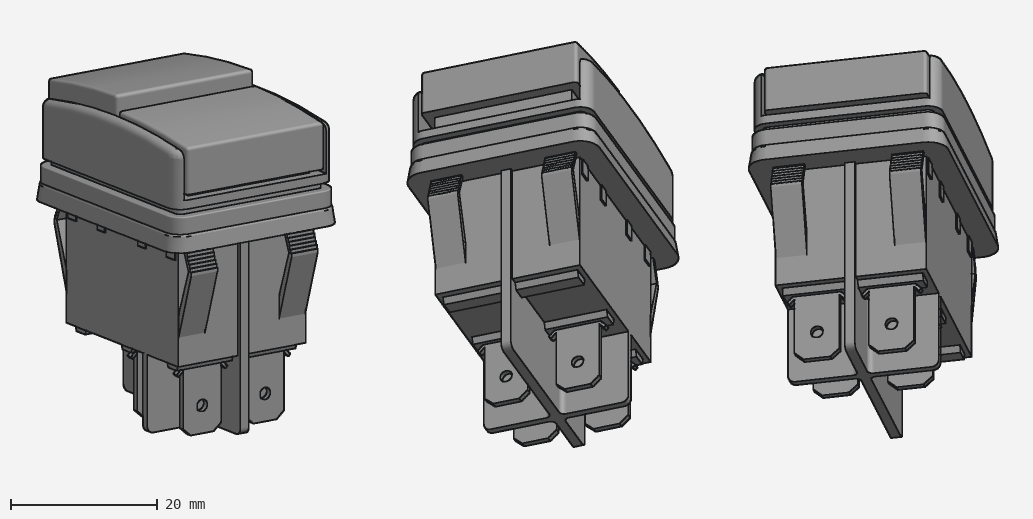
import cadquery as cq
import math

OVERLAP = 0.3

CORNER_X = 14.65
CORNER_Y = 11.1
FLANGE_FOOT_RADIUS = 2.85
FLANGE_KINK_RADIUS = 2.5
FLANGE_RADIUS = 2.35
GROOVE_RADIUS = 0.9
FRAME_RADIUS = 2.05
FLANGE_KINK_Z = 2.2
FLANGE_WALL_Z = 2.5
FLANGE_TOP = 4.95
FLANGE_EDGE_FILLET = 0.2
FRAME_BOTTOM = 5.95
FRAME_FLOOR = 7.23
FRAME_CROWN = 15.45
FRAME_EDGE_FILLET = 1.1
WALL_INNER_Y = 11.8

CROWN_RADIUS = 95.0
ROCKER_END_X = 16.7
ROCKER_GAP_HALF = 0.22
ROCKER_HALF_Y = 11.4
ROCKER_FILLET = 0.5
RAISED_CROWN = 18.12
ROCKER_HEIGHT = 8.07
ROCKER_TRAVEL = 2.08
CORE_HALF_X = 15.0
CORE_HALF_Y = 10.0

HOUSING_HALF_X = 13.4
HOUSING_HALF_Y = 10.57
HOUSING_BOTTOM = -17.3
TAB_DEPTH = 2.3
TAB_PROUD = 0.2
END_TAB_X = 11.83
END_TAB_WIDTH = 1.93
INNER_TAB_X = 4.86
INNER_TAB_WIDTH = 1.77

BARRIER_BOTTOM = -28.48
BARRIER_HALF_X = 14.03
LONG_BARRIER_THICKNESS = 1.43
CROSS_BARRIER_X = 5.48
CROSS_BARRIER_THICKNESS = 1.05
BARRIER_CORNER_FILLET = 1.0
BARRIER_ROOT_FILLET = 0.75

ROW_PITCH = 10.97
RIB_HALF_Y = 9.83
RIB_BOTTOM = -18.3
RIB_TOP_WIDTH = 2.8
RIB_FOOT_WIDTH = 2.1
TERMINAL_THICKNESS = 0.86
TERMINAL_WIDTH = 6.3
TERMINAL_Y = 5.22
TERMINAL_BOTTOM = -28.05
TERMINAL_TIP_CHAMFER_Y = 1.25
TERMINAL_TIP_CHAMFER_Z = 1.1
TERMINAL_HOLE_DIAMETER = 1.7
TERMINAL_HOLE_Z = -24.07
EAR_LENGTH = 1.25
EAR_ANGLE = 45
EAR_THICKNESS = 0.48
EAR_ROOT_Z = -18.4

CLIP_INNER_Y = 6.14
CLIP_OUTER_Y = 10.5
CLIP_STEP_COUNT = 8
CLIP_STEP_HEIGHT = 0.5
CLIP_STEP_DEPTH = 0.2
CLIP_FIRST_STEP_Z = -0.26
CLIP_TIP_X = 16.4
CLIP_BOTTOM = -13.15
CLIP_INNER_TOP_X = 14.4
CLIP_INNER_BEND_X = 15.75
CLIP_INNER_BEND_Z = -3.3
CLIP_INNER_ROOT_Z = -9.9


def box(x0, x1, y0, y1, z0, z1):
    """Box between opposite corners."""
    return cq.Workplane("XY").box(x1 - x0, y1 - y0, z1 - z0, centered=False).translate((x0, y0, z0))


def rounded_block(radius, z0, z1, top_radius=None):
    """Rounded rectangle about the shared corner centres, tapered to top_radius if given."""
    height = z1 - z0
    inset = 0 if top_radius is None else radius - top_radius
    taper = math.degrees(math.atan2(inset, height))
    outline = cq.Sketch().rect(2 * (CORNER_X + radius), 2 * (CORNER_Y + radius)).vertices().fillet(radius)
    return cq.Workplane("XY").placeSketch(outline).extrude(height, taper=taper).translate((0, 0, z0))


def crown_z(crown, x):
    """Height at x of the crowned arc whose highest point is crown."""
    return crown - CROWN_RADIUS + math.sqrt(CROWN_RADIUS ** 2 - x ** 2)


def crowned_block(x0, x1, half_y, z0, crown):
    """Block whose top follows the crowned arc from x0 to x1."""
    middle = (x0 + x1) / 2
    profile = (
        cq.Workplane("XZ")
        .moveTo(x0, z0)
        .lineTo(x0, crown_z(crown, x0))
        .threePointArc((middle, crown_z(crown, middle)), (x1, crown_z(crown, x1)))
        .lineTo(x1, z0)
        .close()
    )
    return profile.extrude(half_y, both=True)


def make_flange():
    foot = rounded_block(FLANGE_FOOT_RADIUS, 0, FLANGE_KINK_Z, FLANGE_KINK_RADIUS)
    kink = rounded_block(FLANGE_KINK_RADIUS, FLANGE_KINK_Z, FLANGE_WALL_Z, FLANGE_RADIUS)
    wall = rounded_block(FLANGE_RADIUS, FLANGE_WALL_Z, FLANGE_TOP)
    wall = wall.faces(">Z").edges().fillet(FLANGE_EDGE_FILLET)
    groove = rounded_block(GROOVE_RADIUS, FLANGE_TOP - OVERLAP, FRAME_BOTTOM + OVERLAP)
    return foot.union(kink).union(wall).union(groove)


def make_frame():
    """Closed band with a crowned side wall at each Y side."""
    half_x = CORNER_X + FRAME_RADIUS
    half_y = CORNER_Y + FRAME_RADIUS
    body = crowned_block(-half_x, half_x, half_y, FRAME_BOTTOM, FRAME_CROWN)
    body = body.edges("|Z").fillet(FRAME_RADIUS)
    body = body.faces(">Z").edges().fillet(FRAME_EDGE_FILLET)
    opening = box(-half_x, half_x, -WALL_INNER_Y, WALL_INNER_Y, FRAME_FLOOR, FRAME_CROWN)
    return body.cut(opening)


def make_rocker(x0, x1, crown):
    block = crowned_block(x0, x1, ROCKER_HALF_Y, crown - ROCKER_HEIGHT, crown)
    return block.edges("not <Z").fillet(ROCKER_FILLET)


def make_rockers():
    """Raised rocker at -X, pressed rocker at +X, both on one core."""
    raised = make_rocker(-ROCKER_END_X, -ROCKER_GAP_HALF, RAISED_CROWN)
    pressed = make_rocker(ROCKER_GAP_HALF, ROCKER_END_X, RAISED_CROWN - ROCKER_TRAVEL)
    core_top = RAISED_CROWN - ROCKER_HEIGHT + OVERLAP
    core = box(-CORE_HALF_X, CORE_HALF_X, -CORE_HALF_Y, CORE_HALF_Y, FRAME_FLOOR - OVERLAP, core_top)
    return core.union(raised).union(pressed)


def make_housing():
    housing = box(-HOUSING_HALF_X, HOUSING_HALF_X, -HOUSING_HALF_Y, HOUSING_HALF_Y, HOUSING_BOTTOM, OVERLAP)
    tab_half_y = HOUSING_HALF_Y + TAB_PROUD
    for x, width in ((END_TAB_X, END_TAB_WIDTH), (INNER_TAB_X, INNER_TAB_WIDTH)):
        for side in (-1, 1):
            centre = side * x
            tab = box(centre - width / 2, centre + width / 2, -tab_half_y, tab_half_y, -TAB_DEPTH, OVERLAP)
            housing = housing.union(tab)
    return housing


def make_barriers():
    """Long and cross barrier plates, filleted where they meet under the housing."""
    half_long = LONG_BARRIER_THICKNESS / 2
    half_cross = CROSS_BARRIER_THICKNESS / 2
    cross_x0 = CROSS_BARRIER_X - half_cross
    cross_x1 = CROSS_BARRIER_X + half_cross
    long_plate = box(-BARRIER_HALF_X, BARRIER_HALF_X, -half_long, half_long, BARRIER_BOTTOM, OVERLAP)
    long_plate = long_plate.faces("<Z").edges("|Y").fillet(BARRIER_CORNER_FILLET)
    cross_top = HOUSING_BOTTOM + OVERLAP
    cross_plate = box(cross_x0, cross_x1, -HOUSING_HALF_Y, HOUSING_HALF_Y, BARRIER_BOTTOM, cross_top)
    cross_plate = cross_plate.faces("<Z").edges("|X").fillet(BARRIER_CORNER_FILLET)
    barriers = long_plate.union(cross_plate)
    roots = cq.selectors.BoxSelector(
        (cross_x0 - OVERLAP, -half_long - OVERLAP, BARRIER_BOTTOM),
        (cross_x1 + OVERLAP, half_long + OVERLAP, cross_top),
    )
    return barriers.edges("|Z").edges(roots).fillet(BARRIER_ROOT_FILLET)


def make_rib(x):
    """Trapezoidal rib across the underside of the housing."""
    outline = [
        (x - RIB_TOP_WIDTH / 2, HOUSING_BOTTOM),
        (x - RIB_FOOT_WIDTH / 2, RIB_BOTTOM),
        (x + RIB_FOOT_WIDTH / 2, RIB_BOTTOM),
        (x + RIB_TOP_WIDTH / 2, HOUSING_BOTTOM),
    ]
    return cq.Workplane("XZ").polyline(outline).close().extrude(RIB_HALF_Y, both=True)


def make_terminal(x, y):
    """Blade with a clipped tip, a hole and two ears angled downwards."""
    half = TERMINAL_WIDTH / 2
    tip_half = half - TERMINAL_TIP_CHAMFER_Y
    shoulder_z = TERMINAL_BOTTOM + TERMINAL_TIP_CHAMFER_Z
    outline = [
        (-half, HOUSING_BOTTOM),
        (-half, shoulder_z),
        (-tip_half, TERMINAL_BOTTOM),
        (tip_half, TERMINAL_BOTTOM),
        (half, shoulder_z),
        (half, HOUSING_BOTTOM),
    ]
    blade = cq.Workplane("YZ").polyline(outline).close().extrude(TERMINAL_THICKNESS / 2, both=True)
    hole = (
        cq.Workplane("YZ")
        .center(0, TERMINAL_HOLE_Z)
        .circle(TERMINAL_HOLE_DIAMETER / 2)
        .extrude(TERMINAL_THICKNESS, both=True)
    )
    blade = blade.cut(hole)
    for side in (-1, 1):
        ear = cq.Workplane("XY").box(TERMINAL_THICKNESS, 2 * EAR_LENGTH, EAR_THICKNESS)
        ear = ear.rotate((0, 0, 0), (1, 0, 0), -EAR_ANGLE * side)
        blade = blade.union(ear.translate((0, side * half, EAR_ROOT_Z)))
    return blade.translate((x, y, 0))


def make_clip():
    """Spring clip at the -X, -Y corner: stepped above the bend, straight below it."""
    top_x = CLIP_TIP_X - (CLIP_STEP_COUNT - 1) * CLIP_STEP_DEPTH
    outline = [(-CLIP_INNER_TOP_X, 0), (-CLIP_INNER_TOP_X, OVERLAP), (-top_x, OVERLAP)]
    for step in range(CLIP_STEP_COUNT):
        x = -top_x - step * CLIP_STEP_DEPTH
        z = CLIP_FIRST_STEP_Z - step * CLIP_STEP_HEIGHT
        outline.append((x, z))
        if step < CLIP_STEP_COUNT - 1:
            outline.append((x - CLIP_STEP_DEPTH, z))
    root_x = -HOUSING_HALF_X
    outline.append((root_x, CLIP_BOTTOM))
    outline.append((root_x + OVERLAP, CLIP_BOTTOM))
    outline.append((root_x + OVERLAP, CLIP_INNER_ROOT_Z))
    outline.append((root_x, CLIP_INNER_ROOT_Z))
    outline.append((-CLIP_INNER_BEND_X, CLIP_INNER_BEND_Z))
    clip = cq.Workplane("XZ").polyline(outline).close().extrude(CLIP_OUTER_Y - CLIP_INNER_Y)
    return clip.translate((0, -CLIP_INNER_Y, 0))


def make_clips():
    clip = make_clip()
    pair = clip.union(clip.mirror("XZ"))
    return pair.union(pair.mirror("YZ"))


result = make_flange().union(make_frame()).union(make_rockers()).union(make_housing())
for row in (-1, 0, 1):
    result = result.union(make_rib(row * ROW_PITCH))
result = result.union(make_barriers()).union(make_clips())
for row in (0, 1):
    for side in (-1, 1):
        result = result.union(make_terminal(row * ROW_PITCH, side * TERMINAL_Y))